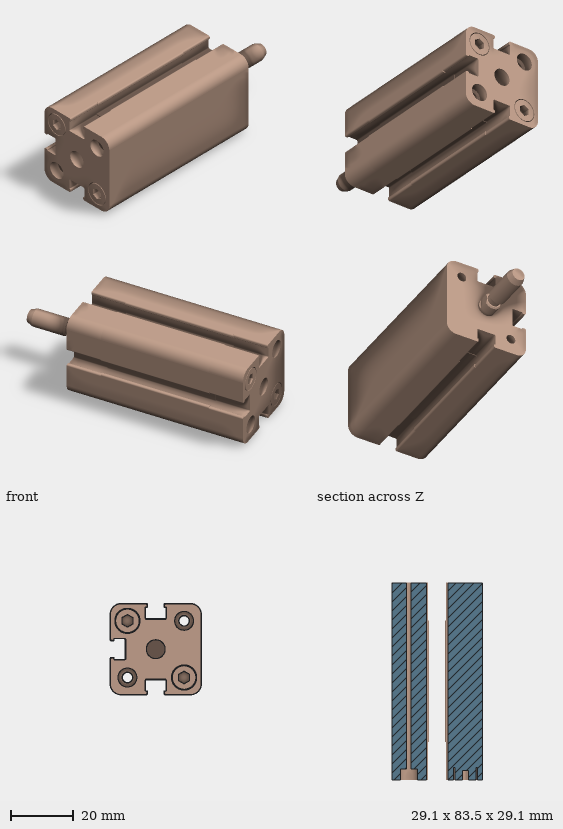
import cadquery as cq
import math


total_length = 83.5
body_side = 29.05
body_length = 63.0
corner_radius = 3.5
cap_length = 12.2
tube_length = body_length - 2 * cap_length
half_side = body_side / 2

slot_half_width = 3.3
lip_thickness = 1.25
lip_radius = 0.5
lip_inner_radius = 0.3
floor_radius = 0.3
cap_mouth_half_width = 2.8
cap_slot_depth = 5.0
tube_mouth_half_width = 2.6
tube_slot_depth = 4.8
slot_angles = (0, 90, 180)

corner_offset = 9.0
through_hole_diameter = 3.25
mounting_bore_diameter = 6.0
mounting_bore_depth = 3.5
centre_bore_diameter = 6.0
centre_bore_depth = 8.0
hole_corners = ((1, 1), (-1, -1))
screw_corners = ((-1, 1), (1, -1))
screw_recess_diameter = 8.0
screw_head_diameter = 7.5
screw_head_height = 4.0
hex_across_corners = 4.0
hex_depth = 3.0

rod_diameter = 6.0
rod_tip_diameter = 4.4
rod_tip_taper = 2.1
neck_diameter = 4.4
thread_chamfer = 0.4
thread_length = 13.8
neck_length = 2.1
collar_chamfer_depth = 0.4
collar_chamfer_length = 0.5
flats_width = 5.0
flats_length = 3.7


def along_y(start):
    """Sketch plane at Y = start with local axes X and Z; a negative extrusion goes toward +Y."""
    return cq.Workplane(cq.Plane(origin=(0, start, 0), xDir=(1, 0, 0), normal=(0, -1, 0)))


def at_corners(start, corners):
    """Sketch plane at Y = start with one point on each given corner axis."""
    points = [(corner_offset * sx, corner_offset * sz) for sx, sz in corners]
    return along_y(start).pushPoints(points)


def slot(start, length, mouth_half_width, depth):
    """Channel cut from the +Z face, with rounded lips and rounded floor corners."""
    floor = half_side - depth
    lip_bottom = half_side - lip_thickness
    bend = 1 - math.sqrt(0.5)
    lip_root = mouth_half_width + lip_radius
    lip_edge = mouth_half_width + lip_inner_radius
    floor_edge = slot_half_width - floor_radius
    right_half = (
        along_y(start)
        .moveTo(0, floor)
        .lineTo(floor_edge, floor)
        .threePointArc(
            (slot_half_width - bend * floor_radius, floor + bend * floor_radius),
            (slot_half_width, floor + floor_radius),
        )
        .lineTo(slot_half_width, lip_bottom)
        .lineTo(lip_edge, lip_bottom)
        .threePointArc(
            (mouth_half_width + bend * lip_inner_radius, lip_bottom + bend * lip_inner_radius),
            (mouth_half_width, lip_bottom + lip_inner_radius),
        )
        .lineTo(mouth_half_width, half_side - lip_radius)
        .threePointArc(
            (mouth_half_width + bend * lip_radius, half_side - bend * lip_radius),
            (lip_root, half_side),
        )
        .lineTo(0, half_side)
        .close()
        .extrude(-length)
    )
    return right_half.union(right_half.mirror("YZ"))


def body_section(start, length, mouth_half_width, slot_depth):
    """Rounded square block with slots on -X, +Z and -Z and the two through holes."""
    block = along_y(start).rect(body_side, body_side).extrude(-length)
    block = block.edges("|Y").fillet(corner_radius)
    channel = slot(start, length, mouth_half_width, slot_depth)
    for angle in slot_angles:
        block = block.cut(channel.rotate((0, 0, 0), (0, 1, 0), -angle))
    holes = at_corners(start, hole_corners).circle(through_hole_diameter / 2).extrude(-length)
    return block.cut(holes)


def cap(start):
    return body_section(start, cap_length, cap_mouth_half_width, cap_slot_depth)


def front_cap():
    """Cap at Y = 0 with the centre bore, mounting bores and socket-head screws."""
    centre_bore = along_y(0).circle(centre_bore_diameter / 2).extrude(-centre_bore_depth)
    mounting_bores = (
        at_corners(0, hole_corners).circle(mounting_bore_diameter / 2).extrude(-mounting_bore_depth)
    )
    recesses = at_corners(0, screw_corners).circle(screw_recess_diameter / 2).extrude(-screw_head_height)
    heads = at_corners(0, screw_corners).circle(screw_head_diameter / 2).extrude(-screw_head_height)
    hexagon = cq.Sketch().regularPolygon(hex_across_corners / 2, 6)
    sockets = at_corners(0, screw_corners).placeSketch(hexagon).extrude(-hex_depth)
    head_gaps = recesses.cut(heads)
    return cap(0).cut(centre_bore).cut(mounting_bores).cut(head_gaps).cut(sockets)


def piston_rod():
    """Turned rod with threaded end, neck and a collar with two wrench flats on +-X."""
    radius = rod_diameter / 2
    neck_radius = neck_diameter / 2
    thread_start = total_length - thread_length
    collar_end = thread_start - neck_length
    rod = (
        cq.Workplane("XY")
        .moveTo(0, body_length)
        .lineTo(radius, body_length)
        .lineTo(radius, collar_end - collar_chamfer_length)
        .lineTo(radius - collar_chamfer_depth, collar_end)
        .lineTo(neck_radius, collar_end)
        .lineTo(neck_radius, thread_start)
        .lineTo(radius - thread_chamfer, thread_start)
        .lineTo(radius, thread_start + thread_chamfer)
        .lineTo(radius, total_length - rod_tip_taper)
        .lineTo(rod_tip_diameter / 2, total_length)
        .lineTo(0, total_length)
        .close()
        .revolve(360, (0, 0, 0), (0, 1, 0))
    )
    flat_depth = radius - flats_width / 2
    flat_start = collar_end - flats_length
    flat_cutter = (
        cq.Workplane("XY")
        .moveTo(flats_width / 2, collar_end)
        .lineTo(flats_width / 2, flat_start)
        .lineTo(radius, flat_start - flat_depth)
        .lineTo(radius, collar_end)
        .close()
        .extrude(radius, both=True)
    )
    return rod.cut(flat_cutter).cut(flat_cutter.mirror("YZ"))


tube = body_section(cap_length, tube_length, tube_mouth_half_width, tube_slot_depth)
rear_cap = cap(cap_length + tube_length)

result = front_cap().union(tube, clean=False).union(rear_cap, clean=False).union(piston_rod(), clean=False)